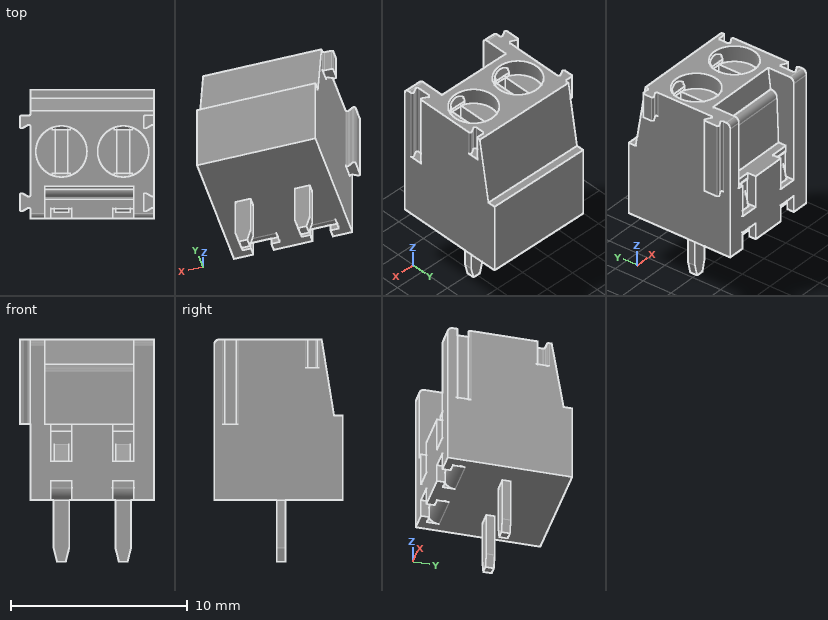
import cadquery as cq
import math


PITCH = 3.5
POLE_COUNT = 2
HOUSING_WIDTH = POLE_COUNT * PITCH
HOUSING_DEPTH = 7.3
HOUSING_HEIGHT = 9.1
FRONT_Y = -3.8
BACK_Y = FRONT_Y + HOUSING_DEPTH
LEFT_X = -HOUSING_WIDTH / 2
RIGHT_X = HOUSING_WIDTH / 2
POLE_XS = [LEFT_X + PITCH * (i + 0.5) for i in range(POLE_COUNT)]
BACK_STEP_HEIGHT = 4.8
BACK_STEP_DEPTH = 0.5
BACK_TOP_SETBACK = 1.2
FRONT_TOP_RADIUS = 0.3

WINDOW_WIDTH = 1.2
UPPER_WINDOW_DEPTH = 0.57
UPPER_WINDOW_BOTTOM = 2.2
LINTEL_BOTTOM = 3.9
UNDERCUT_DEPTH = 0.62
LOWER_WINDOW_TOP = 1.1
LOWER_WINDOW_DEPTH = 0.48

RELIEF_WIDTH = 2.2
RELIEF_RADIUS = 0.7

WEDGE_WIDTH = 0.82
WEDGE_TOP = 3.15
WEDGE_TOE_DEPTH = 0.37

RECESS_LEFT_MARGIN = 0.8
RECESS_LEFT = LEFT_X + RECESS_LEFT_MARGIN
RECESS_RIGHT = POLE_XS[-1] + WINDOW_WIDTH / 2
RECESS_FLOOR = 4.3
RECESS_FLOOR_DEPTH = 1.1
RECESS_LEDGE_HEIGHT = 7.72
RECESS_LEDGE_DIP = 0.02
RECESS_LEDGE_FRONT_DEPTH = 1.23
RECESS_LEDGE_BACK_DEPTH = 1.67
RECESS_TOP_DEPTH = 1.84
RECESS_LEDGE_RADIUS = 0.4

WELL_DIAMETER = 2.9
WELL_RADIUS = WELL_DIAMETER / 2
WELL_DEPTH = 1.05
WELL_FLOOR = HOUSING_HEIGHT - WELL_DEPTH
SCREW_SLOT_WIDTH = 0.72
SCREW_SLOT_DEPTH = 1.0
STOP_WIDTH = 1.02
STOP_FACE_Y = 1.24
STOP_GAP = 0.15
STOP_FACE_HEIGHT = 0.2
STOP_TOP_ANGLE = 65

PIN_WIDTH = 0.9
PIN_THICKNESS = 0.5
PIN_LENGTH = 3.5
PIN_TIP_WIDTH = 0.5
PIN_TAPER_LENGTH = 0.8
PIN_ROOT = 1.5

RIB_REACH = 0.6
RIB_SLOPE_ANGLE = 30
RIB_RADIUS = 0.1
RIB_BASE_DEPTH = 0.3
RIB_BASE_MARGIN = 0.25
RIB_FLARE = RIB_REACH * math.tan(math.radians(RIB_SLOPE_ANGLE))
FRONT_RIB_CENTRE_Y = FRONT_Y + 0.925
FRONT_RIB_WIDTH = 1.19
FRONT_RIB_BOTTOM = RECESS_FLOOR
REAR_RIB_FRONT_Y = FRONT_Y + 5.03
REAR_RIB_BACK_Y = FRONT_Y + 5.84
REAR_RIB_BOTTOM = 7.5


def box(x_min, x_max, y_min, y_max, z_min, z_max):
    """Box between two opposite corners."""
    size = (x_max - x_min, y_max - y_min, z_max - z_min)
    return cq.Workplane("XY").box(*size, centered=False).translate((x_min, y_min, z_min))


def side_prism(points, x_min, x_max):
    """Closed (y, z) outline extruded along X."""
    return cq.Workplane("YZ").polyline(points).close().extrude(x_max - x_min).translate((x_min, 0, 0))


def make_housing():
    """Block with a stepped, sloping back and a rounded top front edge."""
    outline = [
        (FRONT_Y, 0),
        (BACK_Y, 0),
        (BACK_Y, BACK_STEP_HEIGHT),
        (BACK_Y - BACK_STEP_DEPTH, BACK_STEP_HEIGHT),
        (BACK_Y - BACK_TOP_SETBACK, HOUSING_HEIGHT),
        (FRONT_Y, HOUSING_HEIGHT),
    ]
    block = side_prism(outline, LEFT_X, RIGHT_X)
    return block.faces(">Z").edges("<Y").fillet(FRONT_TOP_RADIUS)


def make_front_recess():
    """Cutter for the front recess; its back wall leans and has a rounded ledge that dips backwards."""
    ledge_front_y = FRONT_Y + RECESS_LEDGE_FRONT_DEPTH
    outline = [
        (FRONT_Y, RECESS_FLOOR),
        (FRONT_Y + RECESS_FLOOR_DEPTH, RECESS_FLOOR),
        (ledge_front_y, RECESS_LEDGE_HEIGHT),
        (FRONT_Y + RECESS_LEDGE_BACK_DEPTH, RECESS_LEDGE_HEIGHT - RECESS_LEDGE_DIP),
        (FRONT_Y + RECESS_TOP_DEPTH, HOUSING_HEIGHT),
        (FRONT_Y, HOUSING_HEIGHT),
    ]
    cutter = side_prism(outline, RECESS_LEFT, RECESS_RIGHT)
    ledge_edge = cq.selectors.NearestToPointSelector(
        ((RECESS_LEFT + RECESS_RIGHT) / 2, ledge_front_y, RECESS_LEDGE_HEIGHT)
    )
    return cutter.edges(ledge_edge).fillet(RECESS_LEDGE_RADIUS)


def make_windows(x):
    """Cutter for the two front windows of the pole at x."""
    x_min = x - WINDOW_WIDTH / 2
    x_max = x + WINDOW_WIDTH / 2
    lintel_y = FRONT_Y + UPPER_WINDOW_DEPTH
    undercut_y = FRONT_Y + UNDERCUT_DEPTH
    lower_y = FRONT_Y + LOWER_WINDOW_DEPTH
    upper = box(x_min, x_max, FRONT_Y, lintel_y, UPPER_WINDOW_BOTTOM, RECESS_FLOOR)
    undercut = box(x_min, x_max, FRONT_Y, undercut_y, UPPER_WINDOW_BOTTOM, LINTEL_BOTTOM)
    lower = box(x_min, x_max, FRONT_Y, lower_y, 0, LOWER_WINDOW_TOP)
    return upper.union(undercut).union(lower)


def make_relief(x):
    """Cutter whose rounded roof runs from the back of the lower window down to the underside."""
    start_y = FRONT_Y + LOWER_WINDOW_DEPTH
    mid_offset = RELIEF_RADIUS * (1 - math.sin(math.radians(45)))
    return (
        cq.Workplane("YZ")
        .moveTo(start_y, 0)
        .lineTo(start_y, RELIEF_RADIUS)
        .threePointArc((start_y + mid_offset, mid_offset), (start_y + RELIEF_RADIUS, 0))
        .close()
        .extrude(RELIEF_WIDTH / 2, both=True)
        .translate((x, 0, 0))
    )


def make_wedge(x):
    """Sloping wedge at the back of the upper window of the pole at x."""
    wall_y = FRONT_Y + UNDERCUT_DEPTH
    outline = [
        (FRONT_Y + WEDGE_TOE_DEPTH, UPPER_WINDOW_BOTTOM),
        (wall_y, UPPER_WINDOW_BOTTOM),
        (wall_y, WEDGE_TOP),
    ]
    return side_prism(outline, x - WEDGE_WIDTH / 2, x + WEDGE_WIDTH / 2)


def well_cylinder(x, z_min, height):
    """Cylinder on the screw axis of the pole at x."""
    return cq.Workplane("XY").circle(WELL_RADIUS).extrude(height).translate((x, 0, z_min))


def make_screw_well(x):
    """Cutter for the screw well at x and the driver slot in the screw below it."""
    well = well_cylinder(x, WELL_FLOOR, WELL_DEPTH)
    slot_bottom = WELL_FLOOR - SCREW_SLOT_DEPTH
    half_width = SCREW_SLOT_WIDTH / 2
    slot = box(x - half_width, x + half_width, -WELL_RADIUS, WELL_RADIUS, slot_bottom, WELL_FLOOR)
    return well.union(slot.intersect(well_cylinder(x, slot_bottom, SCREW_SLOT_DEPTH)))


def make_screw_stops(x):
    """Two sloping stops on the well wall, facing each other just above the screw at x."""
    slope_rise = (WELL_RADIUS - STOP_FACE_Y) * math.tan(math.radians(STOP_TOP_ANGLE))
    bottom = WELL_FLOOR + STOP_GAP
    face_top = bottom + STOP_FACE_HEIGHT
    outline = [
        (STOP_FACE_Y, bottom),
        (WELL_RADIUS, bottom),
        (WELL_RADIUS, face_top + slope_rise),
        (STOP_FACE_Y, face_top),
    ]
    stop = side_prism(outline, x - STOP_WIDTH / 2, x + STOP_WIDTH / 2)
    return stop.union(stop.mirror("XZ"))


def make_pin(x):
    """Flat solder pin at x with a tapered tip, rooted inside the housing."""
    taper_z = PIN_TAPER_LENGTH - PIN_LENGTH
    outline = [
        (-PIN_WIDTH / 2, PIN_ROOT),
        (-PIN_WIDTH / 2, taper_z),
        (-PIN_TIP_WIDTH / 2, -PIN_LENGTH),
        (PIN_TIP_WIDTH / 2, -PIN_LENGTH),
        (PIN_WIDTH / 2, taper_z),
        (PIN_WIDTH / 2, PIN_ROOT),
    ]
    pin = cq.Workplane("XZ").polyline(outline).close().extrude(PIN_THICKNESS / 2, both=True)
    return pin.translate((x, 0, 0))


def make_rib(y_front, y_back, back_flare, z_bottom):
    """Rounded dovetail rib on the left side, with a base plate sunk in the housing.

    The front flank always flares outwards; back_flare is zero for a straight back flank.
    """
    tip_x = LEFT_X - RIB_REACH
    base_x = LEFT_X + RIB_BASE_DEPTH
    neck_front = y_front + RIB_FLARE
    neck_back = y_back - back_flare
    outline = [
        (base_x, neck_front - RIB_BASE_MARGIN),
        (LEFT_X, neck_front - RIB_BASE_MARGIN),
        (LEFT_X, neck_front),
        (tip_x, y_front),
        (tip_x, y_back),
        (LEFT_X, neck_back),
        (LEFT_X, neck_back + RIB_BASE_MARGIN),
        (base_x, neck_back + RIB_BASE_MARGIN),
    ]
    height = HOUSING_HEIGHT - z_bottom
    rib = cq.Workplane("XY").polyline(outline).close().extrude(height).translate((0, 0, z_bottom))
    rounded_corners = [(LEFT_X, neck_front), (tip_x, y_front), (tip_x, y_back), (LEFT_X, neck_back)]
    for corner_x, corner_y in rounded_corners:
        corner = (corner_x, corner_y, z_bottom + height / 2)
        rib = rib.edges(cq.selectors.NearestToPointSelector(corner)).fillet(RIB_RADIUS)
    return rib


front_rib = make_rib(
    FRONT_RIB_CENTRE_Y - FRONT_RIB_WIDTH / 2,
    FRONT_RIB_CENTRE_Y + FRONT_RIB_WIDTH / 2,
    RIB_FLARE,
    FRONT_RIB_BOTTOM,
)
rear_rib = make_rib(REAR_RIB_FRONT_Y, REAR_RIB_BACK_Y, 0, REAR_RIB_BOTTOM)

result = make_housing().cut(make_front_recess())
for rib in (front_rib, rear_rib):
    groove = rib.translate((HOUSING_WIDTH, 0, 0))
    result = result.union(rib).cut(groove)
for pole_x in POLE_XS:
    result = result.cut(make_windows(pole_x)).cut(make_relief(pole_x)).union(make_wedge(pole_x))
    result = result.cut(make_screw_well(pole_x)).union(make_screw_stops(pole_x))
    result = result.union(make_pin(pole_x))